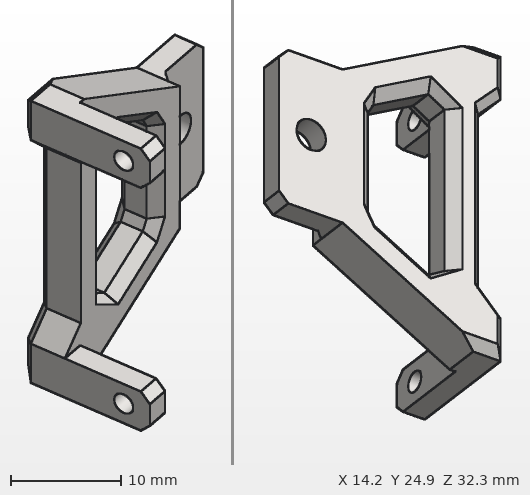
import cadquery as cq

length_x = 14.2
length_y = 24.95
height = 32.3
half_height = height / 2

bevel = 1.0
frame_thickness = 4.78
tab_thickness = 2.45

tab_half_height = 8.15
tab_start_y = 18.0
foot_top_y = 3.0
rail_front_y = 2.5

arm_thickness = 2.4
arm_width = 4.5
arm_bottom = half_height - arm_width
arm_hole_diameter = 2.1
arm_hole_inset = 2.9

tab_hole_diameter = 3.2
tab_hole_inset = 3.52

window_throat = [(14.45, 5.3), (13.82, 6.35), (7.82, 9.6), (6.05, 8.55)]
window_mouth = [(15.65, 5.3), (14.4, 7.45), (8.33, 10.72), (4.88, 8.55)]
flare_depth = 1.15


def mirrored(upper_points):
    """Close an upper half outline with its reflection below Z = 0."""
    return upper_points + [(y, -z) for y, z in reversed(upper_points)]


def make_frame():
    upper_outline = [
        (length_y, tab_half_height - bevel),
        (length_y - bevel, tab_half_height),
        (tab_start_y, tab_half_height),
        (foot_top_y, half_height),
        (0, half_height),
        (0, arm_bottom),
        (rail_front_y, arm_bottom - rail_front_y),
    ]
    frame = cq.Workplane("YZ").polyline(mirrored(upper_outline)).close().extrude(frame_thickness)

    margin = 0.32
    bevel_edges = cq.selectors.BoxSelector(
        (-margin, -margin, -half_height - margin),
        (margin, rail_front_y + margin, half_height + margin),
    )
    return frame.faces("<X").edges(bevel_edges).chamfer(bevel)


def tab_relief():
    """Material removed behind the tab, leaving a 45 degree bevel at its root."""
    profile = [
        (tab_thickness, length_y),
        (tab_thickness, tab_start_y + bevel),
        (tab_thickness + bevel, tab_start_y),
        (frame_thickness, tab_start_y),
        (frame_thickness, length_y),
    ]
    return cq.Workplane("XY").polyline(profile).close().extrude(tab_half_height, both=True)


def window_flare(mouth_x, throat_x):
    return (
        cq.Workplane("YZ", origin=(mouth_x, 0, 0))
        .polyline(mirrored(window_mouth)).close()
        .workplane(offset=throat_x - mouth_x)
        .polyline(mirrored(window_throat)).close()
        .loft(ruled=True)
    )


def make_window():
    throat = cq.Workplane("YZ").polyline(mirrored(window_throat)).close().extrude(frame_thickness)
    outer_flare = window_flare(0, flare_depth)
    inner_flare = window_flare(frame_thickness, frame_thickness - flare_depth)
    return throat.union(outer_flare).union(inner_flare)


def make_arm(side):
    """Drilled arm at the top (side = 1) or bottom (side = -1), starting behind the outer bevel."""
    center_z = side * (half_height - arm_width / 2)
    arm_length = length_x - bevel
    return (
        cq.Workplane("XY")
        .box(arm_length, arm_thickness, arm_width, centered=(False, False, True))
        .edges("|Y and >X").chamfer(bevel)
        .faces("<Y").workplane(origin=(arm_length - arm_hole_inset, 0, 0))
        .hole(arm_hole_diameter)
        .translate((bevel, 0, center_z))
    )


def make_finished_frame():
    tab_hole = (
        cq.Workplane("YZ")
        .center(length_y - tab_hole_inset, 0)
        .circle(tab_hole_diameter / 2)
        .extrude(frame_thickness)
    )
    return make_frame().cut(tab_relief()).cut(make_window()).cut(tab_hole)


result = make_finished_frame()
for side in (1, -1):
    result = result.union(make_arm(side))